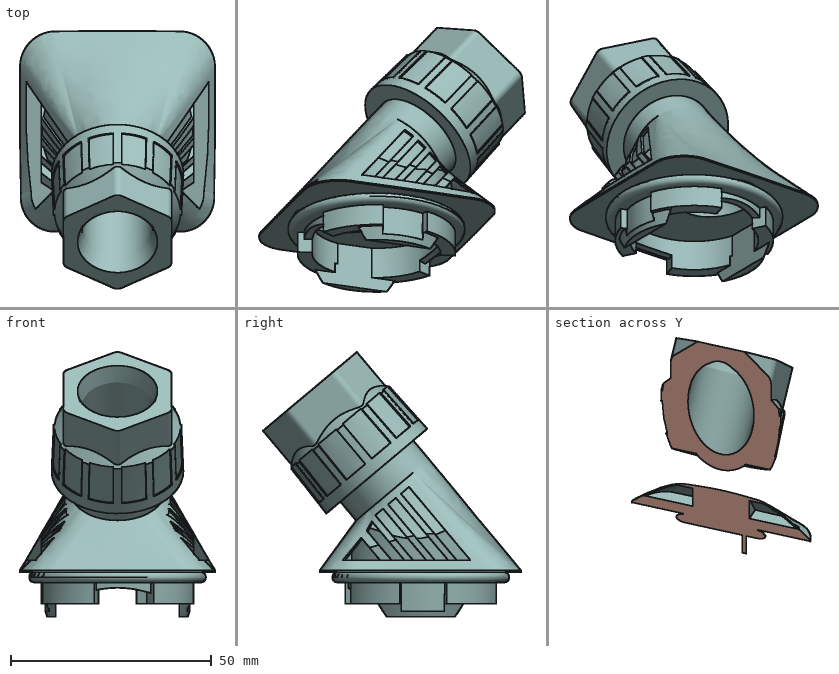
import cadquery as cq
import math

TILT = 40.0
AXIS_FOOT_Y = 10.15
NUT_DISTANCE = 32.84

NUT_RADIUS = 16.45
NUT_TOP_RADIUS = 15.98
NUT_COLLAR_HEIGHT = 3.2
NUT_GRIP_HEIGHT = 14.2
GRIP_RECESS = 0.3
RIB_COUNT = 12
RIB_WIDTH = 2.1
HEX_SIDES = 6
HEX_ANGLE = 360 / HEX_SIDES
HEX_FLATS = 27.0
HEX_CORNER_RADIUS = 2.0
CONE_OVERLAP = 1.0
NUT_TOTAL_HEIGHT = 25.94

NECK_RADIUS = 11.88
NECK_LENGTH = 6.1
BORE_RADIUS = 8.77
BORE_MOUTH_RADIUS = 9.96
BORE_MOUTH_DEPTH = 4.5

LIP_HEIGHT = 0.4
FOOT_BACK_Y = 25.0
FOOT_FRONT_Y = -25.2
FOOT_HALF_WIDTH = 24.335
BACK_CORNER = (16.3, 24.85)
BACK_SIDE = (24.3, 15.15)
FRONT_SIDE = (24.1, -15.5)
FRONT_CORNER = (16.7, -25.05)
NECK_ANGLES = (55.0, 59.0, 129.5, 147.5)

POCKET_FLOOR_Z = 3.0
POCKET_TOP = -8.17
POCKET_BACK = 3.6
POCKET_APEX_Y = 1.0
POCKET_DEPTH = 0.7
FRONT_SKIN = 0.9
UNDERCUT_END_X = 7.6
CORE_RADIUS = 18.8
FIN_HALF_SPAN = 19.0
FIN_WIDTH = 1.64
FIN_PITCH = 4.17
FIRST_FIN = 0.16
FIN_COUNT = 3
LAST_FIN = -12.55
LAST_FIN_WIDTH = 2.2

GASKET_RADIUS = 22.05
GASKET_HEIGHT = 2.6
CAVITY_RADIUS = 16.0
SEGMENT_RADIUS = 19.7
SEGMENT_BOTTOM_Z = -7.9
SEGMENT_ANGLES = ((117.3, 164.5), (199.3, 253.0))
SKIRT_RADIUS = 18.03
SKIRT_BOTTOM_Z = -5.5
ARCH_RADIUS = 27.0
ARCH_TOP_Z = -3.95
TAB_FRONT_Y = -5.9
TAB_BACK_Y = 4.9
TAB_BOTTOM_Z = -9.74
FOOT_PAD_INNER_X = 15.35
FOOT_PAD_BOTTOM_RADIUS = 17.55
FOOT_PAD_BOTTOM_Z = -11.14

FAR = 100.0

SIN_TILT = math.sin(math.radians(TILT))
COS_TILT = math.cos(math.radians(TILT))
NUT_ORIGIN = (0, AXIS_FOOT_Y - NUT_DISTANCE * SIN_TILT, NUT_DISTANCE * COS_TILT)


def axis_plane(height=0.0):
    """Workplane square to the connector axis, at a height above the nut base."""
    plane = cq.Plane(origin=NUT_ORIGIN, xDir=(1, 0, 0), normal=(0, -SIN_TILT, COS_TILT))
    return cq.Workplane(plane).workplane(offset=height)


def revolve_about_axis(profile):
    """Revolve (radius, height) points about the connector axis."""
    plane = cq.Plane(origin=NUT_ORIGIN, xDir=(1, 0, 0), normal=(0, -COS_TILT, -SIN_TILT))
    return cq.Workplane(plane).polyline(profile).close().revolve(360, (0, 0, 0), (0, 1, 0))


def axis_block(across_from, across_to, half_span, bottom, top):
    """Block square to the connector axis, centred on X."""
    return (
        axis_plane(bottom)
        .center(0, (across_from + across_to) / 2)
        .rect(2 * half_span, across_to - across_from)
        .extrude(top - bottom)
    )


def grip_body(recess):
    """Tapered grip ending in a 45 degree cone that runs up into the hexagon."""
    apex_height = NUT_GRIP_HEIGHT + NUT_TOP_RADIUS
    top_radius = NUT_TOP_RADIUS - recess
    inner_radius = HEX_FLATS / 2 - CONE_OVERLAP
    return revolve_about_axis([
        (0, 0),
        (NUT_RADIUS - recess, 0),
        (top_radius, apex_height - top_radius),
        (inner_radius, apex_height - inner_radius),
        (0, apex_height - inner_radius),
    ])


def make_nut():
    grip = grip_body(0)
    collar = axis_plane().circle(NUT_RADIUS).extrude(NUT_COLLAR_HEIGHT)
    recesses = grip.cut(grip_body(GRIP_RECESS)).cut(collar)
    for index in range(RIB_COUNT // 2):
        rib_pair = (
            axis_plane()
            .transformed(rotate=(0, 0, index * 360 / RIB_COUNT))
            .rect(4 * NUT_RADIUS, RIB_WIDTH)
            .extrude(NUT_TOTAL_HEIGHT)
        )
        recesses = recesses.cut(rib_pair)
    hexagon = (
        axis_plane()
        .transformed(rotate=(0, 0, HEX_ANGLE / 2))
        .polygon(HEX_SIDES, HEX_FLATS / math.cos(math.pi / HEX_SIDES))
        .extrude(NUT_TOTAL_HEIGHT)
        .edges(cq.selectors.ParallelDirSelector(cq.Vector(0, -SIN_TILT, COS_TILT)))
        .fillet(HEX_CORNER_RADIUS)
    )
    return grip.cut(recesses).union(hexagon)


def mirrored(point):
    return (-point[0], point[1])


def corner_middle(edge_end, side_end):
    """Middle of the rounded corner between a front or back edge and a side."""
    pull = 1 - math.sqrt(0.5)
    x = side_end[0] - pull * (side_end[0] - edge_end[0])
    y = edge_end[1] - pull * (edge_end[1] - side_end[1])
    return (x, y)


def foot_outline(height, inset):
    """Bulged rounded rectangle of the hood foot."""
    back_corner = (BACK_CORNER[0], BACK_CORNER[1] - inset)
    back_side = (BACK_SIDE[0] - inset, BACK_SIDE[1])
    front_side = (FRONT_SIDE[0] - inset, FRONT_SIDE[1])
    front_corner = (FRONT_CORNER[0], FRONT_CORNER[1] + inset)
    back_mid = corner_middle(back_corner, back_side)
    front_mid = corner_middle(front_corner, front_side)
    half_width = FOOT_HALF_WIDTH - inset
    return (
        cq.Workplane("XY")
        .workplane(offset=height)
        .moveTo(*mirrored(back_corner))
        .threePointArc((0, FOOT_BACK_Y - inset), back_corner)
        .threePointArc(back_mid, back_side)
        .threePointArc((half_width, 0), front_side)
        .threePointArc(front_mid, front_corner)
        .threePointArc((0, FOOT_FRONT_Y + inset), mirrored(front_corner))
        .threePointArc(mirrored(front_mid), mirrored(front_side))
        .threePointArc((-half_width, 0), mirrored(back_side))
        .threePointArc(mirrored(back_mid), mirrored(back_corner))
        .close()
    )


def neck_outline(inset):
    """Circle at the neck, split at the points joined to the foot outline."""
    radius = NECK_RADIUS - inset

    def at(angle):
        return (radius * math.sin(math.radians(angle)), radius * math.cos(math.radians(angle)))

    stops = list(NECK_ANGLES) + [360 - angle for angle in reversed(NECK_ANGLES)]
    outline = axis_plane(-NECK_LENGTH).moveTo(*at(-NECK_ANGLES[0]))
    start = -NECK_ANGLES[0]
    for stop in stops:
        outline = outline.threePointArc(at((start + stop) / 2), at(stop))
        start = stop
    return outline.close()


def hood_loft(inset):
    foot = foot_outline(LIP_HEIGHT, inset).wires().val()
    neck = neck_outline(inset).wires().val()
    return cq.Workplane(cq.Solid.makeLoft([foot, neck], True))


def make_pockets():
    """Recesses on both sides, broken up by fins that follow the connector axis."""
    pocket = axis_block(-FAR, POCKET_BACK, FAR, -FAR, POCKET_TOP)
    above_floor = cq.Workplane("XY").workplane(offset=POCKET_FLOOR_Z).rect(FAR, FAR).extrude(FAR)
    front_wedge = (
        cq.Workplane("XY")
        .polyline([(0, POCKET_APEX_Y), (FAR, POCKET_APEX_Y - FAR), (-FAR, POCKET_APEX_Y - FAR)])
        .close()
        .extrude(FAR)
    )
    core = hood_loft(POCKET_DEPTH).intersect(cq.Workplane("XY").circle(CORE_RADIUS).extrude(FAR))
    front_middle = cq.Workplane("XY").rect(2 * UNDERCUT_END_X, FAR).extrude(FAR)
    undercut = hood_loft(FRONT_SKIN).cut(front_middle)
    pocket = pocket.intersect(above_floor).cut(front_wedge.cut(undercut)).cut(core)
    fins = [(FIRST_FIN - index * FIN_PITCH, FIN_WIDTH) for index in range(FIN_COUNT)]
    fins.append((LAST_FIN, LAST_FIN_WIDTH))
    for centre, width in fins:
        pocket = pocket.cut(
            axis_block(centre - width / 2, centre + width / 2, FIN_HALF_SPAN, -FAR, 0)
        )
    return pocket


def make_hood():
    lip = foot_outline(0, 0).extrude(LIP_HEIGHT)
    neck = axis_plane(-NECK_LENGTH).circle(NECK_RADIUS).extrude(NECK_LENGTH)
    return hood_loft(0).cut(make_pockets()).union(lip).union(neck)


def make_segment(start, end):
    """Block of the base wall between two angles."""
    reach = 2 * SEGMENT_RADIUS
    middle = (start + end) / 2
    corners = [(0, 0)]
    for angle in (start, middle, end):
        direction = math.radians(angle)
        corners.append((reach * math.cos(direction), reach * math.sin(direction)))
    sector = cq.Workplane("XY").polyline(corners).close().extrude(SEGMENT_BOTTOM_Z)
    wall = (
        cq.Workplane("XY").circle(SEGMENT_RADIUS).circle(CAVITY_RADIUS).extrude(SEGMENT_BOTTOM_Z)
    )
    return wall.intersect(sector)


def make_foot_pad():
    """Conical pad under the wall on the -X side, flush with the lower edge of the tab."""
    taper = (SKIRT_RADIUS - FOOT_PAD_BOTTOM_RADIUS) / (TAB_BOTTOM_Z - FOOT_PAD_BOTTOM_Z)
    top_radius = FOOT_PAD_BOTTOM_RADIUS + taper * (SEGMENT_BOTTOM_Z - FOOT_PAD_BOTTOM_Z)
    cone = (
        cq.Workplane("XZ")
        .polyline([
            (0, FOOT_PAD_BOTTOM_Z),
            (FOOT_PAD_BOTTOM_RADIUS, FOOT_PAD_BOTTOM_Z),
            (top_radius, SEGMENT_BOTTOM_Z),
            (0, SEGMENT_BOTTOM_Z),
        ])
        .close()
        .revolve(360, (0, 0, 0), (0, 1, 0))
    )
    outer_side = cq.Workplane("XY").center(-FOOT_PAD_INNER_X - FAR / 2, 0).rect(FAR, FAR).extrude(-FAR)
    skirt = cq.Workplane("XY").circle(SKIRT_RADIUS).extrude(TAB_BOTTOM_Z)
    relief = tab_strip().cut(skirt)
    return cone.intersect(outer_side).cut(relief)


def tab_strip():
    """Strip on the -X side as wide as the tab."""
    return (
        cq.Workplane("XY")
        .center(-FOOT_PAD_INNER_X - FAR / 2, (TAB_FRONT_Y + TAB_BACK_Y) / 2)
        .rect(FAR, TAB_BACK_Y - TAB_FRONT_Y)
        .extrude(TAB_BOTTOM_Z)
    )


def make_tab():
    """Tongue on the -X side, in the gap between two wall segments."""
    return tab_strip().intersect(cq.Workplane("XY").circle(SKIRT_RADIUS).extrude(TAB_BOTTOM_Z))


def half_turn(shape):
    return shape.rotate((0, 0, 0), (0, 0, 1), 180)


def make_gasket():
    """Disc with a fully rounded rim."""
    rim = GASKET_HEIGHT / 2
    shoulder = GASKET_RADIUS - rim
    bulge = shoulder + rim * math.sqrt(0.5)
    rise = rim * (1 - math.sqrt(0.5))
    return (
        cq.Workplane("XZ")
        .lineTo(shoulder, 0)
        .threePointArc((bulge, -rise), (GASKET_RADIUS, -rim))
        .threePointArc((bulge, rise - GASKET_HEIGHT), (shoulder, -GASKET_HEIGHT))
        .lineTo(0, -GASKET_HEIGHT)
        .close()
        .revolve(360, (0, 0, 0), (0, 1, 0))
    )


def make_base():
    arch = (
        cq.Workplane("XZ")
        .center(0, ARCH_TOP_Z - ARCH_RADIUS)
        .circle(ARCH_RADIUS)
        .extrude(FAR, both=True)
    )
    skirt = cq.Workplane("XY").circle(SKIRT_RADIUS).extrude(SKIRT_BOTTOM_Z).cut(arch)
    cavity = cq.Workplane("XY").circle(CAVITY_RADIUS).extrude(SKIRT_BOTTOM_Z)
    base = make_gasket().union(skirt).cut(cavity)
    parts = [make_segment(start, end) for start, end in SEGMENT_ANGLES]
    parts.append(make_tab())
    parts.append(make_foot_pad())
    for part in parts:
        base = base.union(part).union(half_turn(part))
    return base


def make_bore():
    """Bore with a tapered mouth, running down to the underside of the hood."""
    bore = revolve_about_axis([
        (0, -FAR),
        (BORE_RADIUS, -FAR),
        (BORE_RADIUS, NUT_TOTAL_HEIGHT - BORE_MOUTH_DEPTH),
        (BORE_MOUTH_RADIUS, NUT_TOTAL_HEIGHT),
        (0, NUT_TOTAL_HEIGHT),
    ])
    return bore.intersect(cq.Workplane("XY").rect(2 * FAR, 2 * FAR).extrude(FAR))


result = make_nut().union(make_hood()).union(make_base()).cut(make_bore())